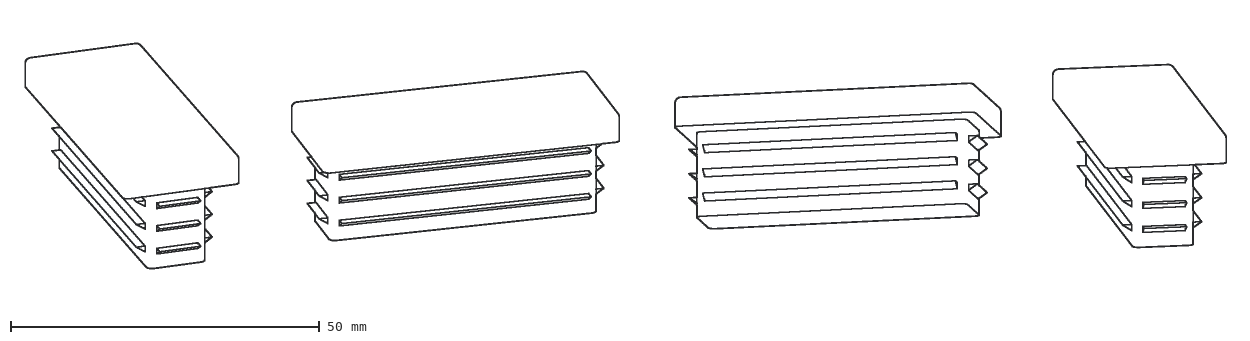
import cadquery as cq

cap_length = 50
cap_width = 20
cap_height = 5
cap_radius = 1

plug_length = 45
plug_width = 10
plug_height = 14
plug_radius = 1

fin_reach = 1.5
fin_height = 1
fin_end_gap = 1.5
fin_count = 3
fin_pitch = 4
lowest_fin_top = 3.5


def make_cap():
    block = cq.Workplane("XY").workplane(offset=plug_height).rect(cap_length, cap_width).extrude(cap_height)
    return block.edges("|Z or >Z").fillet(cap_radius)


def make_plug():
    block = cq.Workplane("XY").rect(plug_length, plug_width).extrude(plug_height)
    return block.edges("|Z").fillet(plug_radius)


def make_fin(face_distance, length, top, angle):
    """Triangular fin on the plug face at the given distance and angle about Z."""
    profile = [
        (0, top - fin_height),
        (face_distance, top - fin_height),
        (face_distance + fin_reach, top),
        (0, top),
    ]
    fin = cq.Workplane("XZ").polyline(profile).close().extrude(length / 2, both=True)
    return fin.rotate((0, 0, 0), (0, 0, 1), angle)


long_fin = plug_length - 2 * fin_end_gap
short_fin = plug_width - 2 * fin_end_gap

result = make_cap().union(make_plug())
for level in range(fin_count):
    fin_top = lowest_fin_top + level * fin_pitch
    for angle in (0, 180):
        result = result.union(make_fin(plug_length / 2, short_fin, fin_top, angle))
        result = result.union(make_fin(plug_width / 2, long_fin, fin_top, angle + 90))